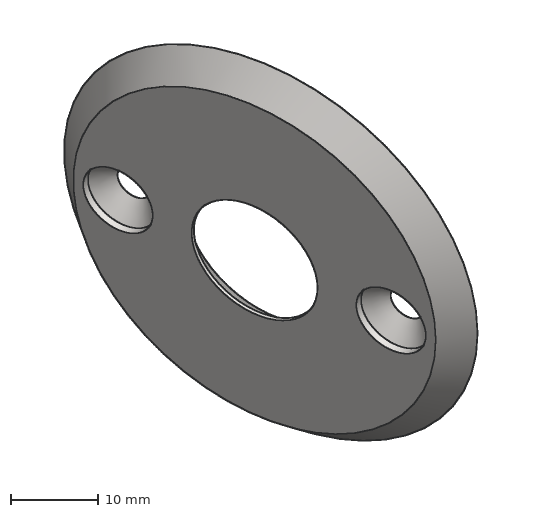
import cadquery as cq

outer_diameter = 56.0
thickness = 3.5
center_hole_diameter = 17.0
center_hole_land = 0.5
screw_spacing = 36.95
screw_hole_diameter = 4.5
countersink_diameter = 9.4

outer_radius = outer_diameter / 2
front_radius = outer_radius - thickness
center_hole_radius = center_hole_diameter / 2
flare_radius = center_hole_radius + thickness - center_hole_land
screw_hole_radius = screw_hole_diameter / 2
countersink_radius = countersink_diameter / 2
countersink_depth = countersink_radius - screw_hole_radius


def revolved_about_y(outline):
    """Revolve a closed (radius, y) outline about the Y axis."""
    return cq.Workplane("XY").polyline(outline).close().revolve(360, (0, 0, 0), (0, 1, 0))


plate = revolved_about_y([
    (flare_radius, 0),
    (outer_radius, 0),
    (front_radius, -thickness),
    (center_hole_radius, -thickness),
    (center_hole_radius, center_hole_land - thickness),
])

screw_cutter = revolved_about_y([
    (0, 0),
    (screw_hole_radius, 0),
    (countersink_radius, -countersink_depth),
    (countersink_radius, -thickness),
    (0, -thickness),
])

result = plate
for side in (-1, 1):
    result = result.cut(screw_cutter.translate((side * screw_spacing / 2, 0, 0)))